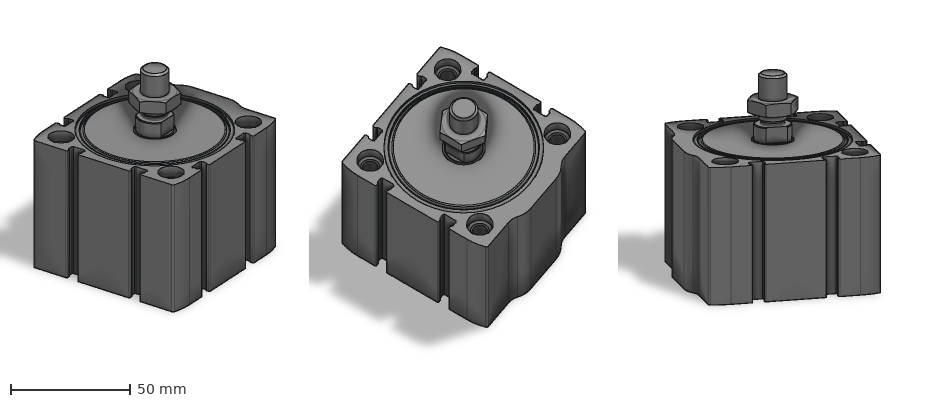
import cadquery as cq
import math

SIDE = 75.0
HALF = SIDE / 2
HOUSING_HEIGHT = 60.0
BUMP_HEIGHT = 3.5
BUMP_BASE_HALF = 20.5
BUMP_TOP_HALF = 9.1
BUMP_FOOT_SHARE = 0.4
FLANK_RADIUS = 27.6
FLANK_START = 28.1
CORNER_FILLET = 1.1

SLOT_OFFSET = 16.0
SLOT_MOUTH = 5.3
SLOT_WIDTH = 6.7
SLOT_DEPTH = 5.0
SLOT_LIP = 1.8
SLOT_ROUNDING = 0.45

HOLE_OFFSET = 28.2
HOLE_DIAMETER = 6.7
HOLE_CHAMFER_DIAMETER = 8.0
COUNTERBORE_DIAMETER = 11.0
COUNTERBORE_DEPTH = 5.1

OUTER_GROOVE_DIAMETER = 67.0
RING_OUTER_DIAMETER = 63.6
RING_INNER_DIAMETER = 63.0
OUTER_GROOVE_DEPTH = 1.25
RING_DROP = 0.3
COVER_EDGE_DIAMETER = 60.5
COVER_FACE_DIAMETER = 59.3
COVER_EDGE_DROP = 0.3
INNER_GROOVE_DEPTH = 1.4

ROD_DIAMETER = 16.0
ROD_BORE_DEPTH = 26.7
WIPER_GROOVE_DIAMETER = 18.1
WIPER_GROOVE_DEPTH = 0.8
WIPER_LIP_DIAMETER = 16.4
FLATS_WIDTH = 13.0
FLATS_LEDGE = 0.3
FLATS_START = HOUSING_HEIGHT + FLATS_LEDGE
SHOULDER_Z = 67.0
SHOULDER_CHAMFER = 0.4
NECK_DIAMETER = 10.1
NECK_FILLET = 0.4
THREAD_DIAMETER = 12.0
THREAD_START = 69.2
ROD_TOP = 89.0
TIP_CHAMFER = 1.0

NUT_ACROSS_FLATS = 19.05
NUT_TOP = 78.05
NUT_THICKNESS = 6.0
NUT_CHAMFER_DIAMETER = 18.7
NUT_CHAMFER_ANGLE = 15.0


def revolve_profile(points):
    """Revolve a closed (radius, z) outline about the Z axis."""
    return cq.Workplane("XZ").polyline(points).close().revolve(360, (0, 0, 0), (0, 1, 0))


def square_with_drawn_in_corners():
    """Prism with flat sides whose corners are pulled in by large arcs on the X sides."""
    run = HALF - FLANK_START
    mid_run = run / 2
    full_x = HALF - FLANK_RADIUS + math.sqrt(FLANK_RADIUS**2 - run**2)
    mid_x = HALF - FLANK_RADIUS + math.sqrt(FLANK_RADIUS**2 - mid_run**2)
    mid_y = FLANK_START + mid_run
    outline = (
        cq.Workplane("XY")
        .moveTo(-full_x, -HALF)
        .lineTo(full_x, -HALF)
        .threePointArc((mid_x, -mid_y), (HALF, -FLANK_START))
        .lineTo(HALF, FLANK_START)
        .threePointArc((mid_x, mid_y), (full_x, HALF))
        .lineTo(-full_x, HALF)
        .threePointArc((-mid_x, mid_y), (-HALF, FLANK_START))
        .lineTo(-HALF, -FLANK_START)
        .threePointArc((-mid_x, -mid_y), (-full_x, -HALF))
        .close()
    )
    prism = outline.extrude(HOUSING_HEIGHT)
    return prism.edges("|Z").edges(">Y or <Y").fillet(CORNER_FILLET)


def side_bump():
    """Raised pad on +Y whose flanks are S-curves of two tangent arcs."""
    run = BUMP_BASE_HALF - BUMP_TOP_HALF
    slope = 2 * math.atan2(BUMP_HEIGHT, run)
    radius_sum = run / math.sin(slope)
    foot_radius = BUMP_FOOT_SHARE * radius_sum
    crest_radius = radius_sum - foot_radius
    top_y = HALF + BUMP_HEIGHT
    turn = (BUMP_BASE_HALF - BUMP_FOOT_SHARE * run, HALF + BUMP_FOOT_SHARE * BUMP_HEIGHT)
    half_sin = math.sin(slope / 2)
    half_drop = 1 - math.cos(slope / 2)
    foot_mid = (BUMP_BASE_HALF - foot_radius * half_sin, HALF + foot_radius * half_drop)
    crest_mid = (BUMP_TOP_HALF + crest_radius * half_sin, top_y - crest_radius * half_drop)

    def left(point):
        return (-point[0], point[1])

    return (
        cq.Workplane("XY")
        .moveTo(-BUMP_BASE_HALF, 0)
        .lineTo(BUMP_BASE_HALF, 0)
        .lineTo(BUMP_BASE_HALF, HALF)
        .threePointArc(foot_mid, turn)
        .threePointArc(crest_mid, (BUMP_TOP_HALF, top_y))
        .lineTo(-BUMP_TOP_HALF, top_y)
        .threePointArc(left(crest_mid), left(turn))
        .threePointArc(left(foot_mid), (-BUMP_BASE_HALF, HALF))
        .close()
        .extrude(HOUSING_HEIGHT)
    )


def t_slot(side_angle, offset):
    """T-slot cutter in the -Y side, turned about Z to reach another side."""
    half_mouth = SLOT_MOUTH / 2
    half_width = SLOT_WIDTH / 2
    mouth_edge = half_mouth + SLOT_ROUNDING
    arc_inset = SLOT_ROUNDING * math.sqrt(0.5)
    arc_mid = (mouth_edge - arc_inset, SLOT_ROUNDING - arc_inset)
    right_half = [
        (half_mouth, SLOT_ROUNDING),
        (half_mouth, SLOT_LIP),
        (half_width - SLOT_ROUNDING, SLOT_LIP),
        (half_width, SLOT_LIP + SLOT_ROUNDING),
        (half_width, SLOT_DEPTH - SLOT_ROUNDING),
        (half_width - SLOT_ROUNDING, SLOT_DEPTH),
    ]
    left_half = [(-x, y) for x, y in reversed(right_half)]
    cutter = (
        cq.Workplane("XY")
        .moveTo(mouth_edge, 0)
        .threePointArc(arc_mid, right_half[0])
        .polyline(right_half[1:] + left_half, includeCurrent=True)
        .threePointArc((-arc_mid[0], arc_mid[1]), (-mouth_edge, 0))
        .close()
        .extrude(HOUSING_HEIGHT)
    )
    return cutter.translate((offset, -HALF, 0)).rotate((0, 0, 0), (0, 0, 1), side_angle)


def mounting_hole(x, y):
    """Through hole with a chamfered mouth at the bottom of a counterbore."""
    floor_z = HOUSING_HEIGHT - COUNTERBORE_DEPTH
    radius = HOLE_DIAMETER / 2
    mouth_radius = HOLE_CHAMFER_DIAMETER / 2
    counterbore_radius = COUNTERBORE_DIAMETER / 2
    cutter = revolve_profile([
        (0, 0),
        (radius, 0),
        (radius, floor_z - (mouth_radius - radius)),
        (mouth_radius, floor_z),
        (counterbore_radius, floor_z),
        (counterbore_radius, HOUSING_HEIGHT),
        (0, HOUSING_HEIGHT),
    ])
    return cutter.translate((x, y, 0))


def ring_grooves():
    """Two grooves round the end cover, with the narrow flat ring left between them."""
    groove_radius = OUTER_GROOVE_DIAMETER / 2
    ring_outer = RING_OUTER_DIAMETER / 2
    ring_inner = RING_INNER_DIAMETER / 2
    ring_z = HOUSING_HEIGHT - RING_DROP
    return revolve_profile([
        (COVER_FACE_DIAMETER / 2, HOUSING_HEIGHT),
        (COVER_EDGE_DIAMETER / 2, HOUSING_HEIGHT - COVER_EDGE_DROP),
        (ring_inner, HOUSING_HEIGHT - INNER_GROOVE_DEPTH),
        (ring_inner, ring_z),
        (ring_outer, ring_z),
        (groove_radius, HOUSING_HEIGHT - OUTER_GROOVE_DEPTH),
        (groove_radius, HOUSING_HEIGHT),
    ])


def rod_bore():
    """Blind bore for the rod."""
    bottom_z = HOUSING_HEIGHT - ROD_BORE_DEPTH
    return (
        cq.Workplane("XY", origin=(0, 0, bottom_z))
        .circle(ROD_DIAMETER / 2)
        .extrude(ROD_BORE_DEPTH)
    )


def wiper_groove():
    """Groove round the rod, deepest at its outer wall and sloping up to a thin lip."""
    return revolve_profile([
        (WIPER_LIP_DIAMETER / 2, HOUSING_HEIGHT),
        (WIPER_GROOVE_DIAMETER / 2, HOUSING_HEIGHT - WIPER_GROOVE_DEPTH),
        (WIPER_GROOVE_DIAMETER / 2, HOUSING_HEIGHT),
    ])


def make_housing():
    housing = square_with_drawn_in_corners().union(side_bump())
    for side_angle in (0, 90, -90):
        for offset in (-SLOT_OFFSET, SLOT_OFFSET):
            housing = housing.cut(t_slot(side_angle, offset))
    for x in (-HOLE_OFFSET, HOLE_OFFSET):
        for y in (-HOLE_OFFSET, HOLE_OFFSET):
            housing = housing.cut(mounting_hole(x, y))
    return housing.cut(ring_grooves()).cut(rod_bore()).cut(wiper_groove())


def make_rod():
    """Piston rod: shaft with two wrench flats, a filleted neck and a threaded end."""
    shaft_radius = ROD_DIAMETER / 2
    thread_radius = THREAD_DIAMETER / 2
    neck_radius = NECK_DIAMETER / 2
    fillet_mid = NECK_FILLET * (1 - math.sqrt(0.5))
    bottom_z = HOUSING_HEIGHT - ROD_BORE_DEPTH
    rod = (
        cq.Workplane("XZ")
        .moveTo(0, bottom_z)
        .lineTo(shaft_radius, bottom_z)
        .lineTo(shaft_radius, SHOULDER_Z - SHOULDER_CHAMFER)
        .lineTo(shaft_radius - SHOULDER_CHAMFER, SHOULDER_Z)
        .lineTo(neck_radius + NECK_FILLET, SHOULDER_Z)
        .threePointArc(
            (neck_radius + fillet_mid, SHOULDER_Z + fillet_mid),
            (neck_radius, SHOULDER_Z + NECK_FILLET),
        )
        .lineTo(neck_radius, THREAD_START - (thread_radius - neck_radius))
        .lineTo(thread_radius, THREAD_START)
        .lineTo(thread_radius, ROD_TOP - TIP_CHAMFER)
        .lineTo(thread_radius - TIP_CHAMFER, ROD_TOP)
        .lineTo(0, ROD_TOP)
        .close()
        .revolve(360, (0, 0, 0), (0, 1, 0))
    )
    flats_height = SHOULDER_Z - FLATS_START
    for side in (-1, 1):
        flat_cut = (
            cq.Workplane("XY", origin=(side * (FLATS_WIDTH + ROD_DIAMETER) / 2, 0, FLATS_START))
            .box(ROD_DIAMETER, ROD_DIAMETER, flats_height, centered=(True, True, False))
        )
        rod = rod.cut(flat_cut)
    return rod


def make_nut():
    """Hexagon nut with corners on the Y axis, chamfered at both ends."""
    corner_radius = NUT_ACROSS_FLATS / math.sqrt(3)
    face_radius = NUT_CHAMFER_DIAMETER / 2
    chamfer = (corner_radius - face_radius) * math.tan(math.radians(NUT_CHAMFER_ANGLE))
    hexagon = (
        cq.Workplane("XY")
        .polygon(6, 2 * corner_radius)
        .circle(THREAD_DIAMETER / 2)
        .extrude(NUT_THICKNESS)
        .rotate((0, 0, 0), (0, 0, 1), 90)
    )
    envelope = revolve_profile([
        (0, 0),
        (face_radius, 0),
        (corner_radius, chamfer),
        (corner_radius, NUT_THICKNESS - chamfer),
        (face_radius, NUT_THICKNESS),
        (0, NUT_THICKNESS),
    ])
    return hexagon.intersect(envelope).translate((0, 0, NUT_TOP - NUT_THICKNESS))


housing = make_housing()
rod = make_rod()
nut = make_nut()

result = cq.Compound.makeCompound([housing.solids().val(), rod.solids().val(), nut.solids().val()])